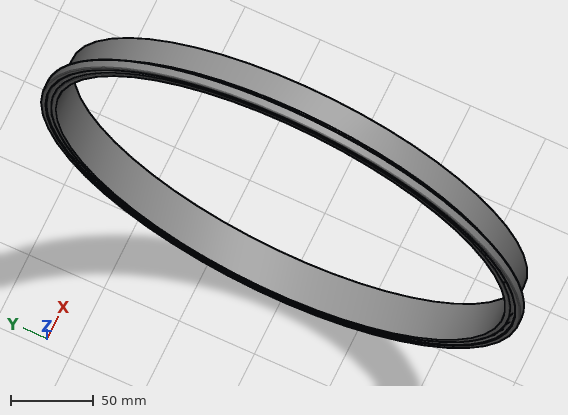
import cadquery as cq
import math

length = 25.5
flange_diameter = 319.3
tube_diameter = 305.0
bore_diameter = 299.2

rim_thickness = 5.7
clamp_angle = 20.0
rim_round = 0.5
neck_round = 1.5

groove_diameter = 308.7
groove_width = 3.2
groove_depth = 1.5
groove_edge_round = 0.5

match_tolerance = 0.03

flange_radius = flange_diameter / 2
tube_radius = tube_diameter / 2
bore_radius = bore_diameter / 2
groove_radius = groove_diameter / 2
taper_length = (flange_radius - tube_radius) * math.tan(math.radians(clamp_angle))
neck_x = rim_thickness + taper_length


def revolve_about_x(profile):
    """Turn a closed profile, drawn with X along the axis and Y as radius."""
    return profile.revolve(360, (0, 0, 0), (1, 0, 0))


def circles_at(body, x, radius):
    """Select the circular edge of the given radius lying in the plane at x."""
    def matches(edge):
        return abs(edge.Center().x - x) < match_tolerance and abs(edge.radius() - radius) < match_tolerance

    return body.edges("%CIRCLE").filter(matches)


def make_blank():
    """Flange and tube with the through bore."""
    profile = (
        cq.Workplane("XY")
        .moveTo(0, bore_radius)
        .lineTo(0, flange_radius)
        .lineTo(rim_thickness, flange_radius)
        .lineTo(neck_x, tube_radius)
        .lineTo(length, tube_radius)
        .lineTo(length, bore_radius)
        .close()
    )
    return revolve_about_x(profile)


def make_groove():
    """Round-bottomed ring that cuts the gasket groove into the front face."""
    profile = (
        cq.Workplane("XY")
        .moveTo(0, groove_radius - groove_width / 2)
        .threePointArc((groove_depth, groove_radius), (0, groove_radius + groove_width / 2))
        .close()
    )
    return revolve_about_x(profile)


result = make_blank().cut(make_groove())

for rim_x in (0, rim_thickness):
    result = circles_at(result, rim_x, flange_radius).fillet(rim_round)
result = circles_at(result, neck_x, tube_radius).fillet(neck_round)
for side in (-1, 1):
    lip_radius = groove_radius + side * groove_width / 2
    result = circles_at(result, 0, lip_radius).fillet(groove_edge_round)